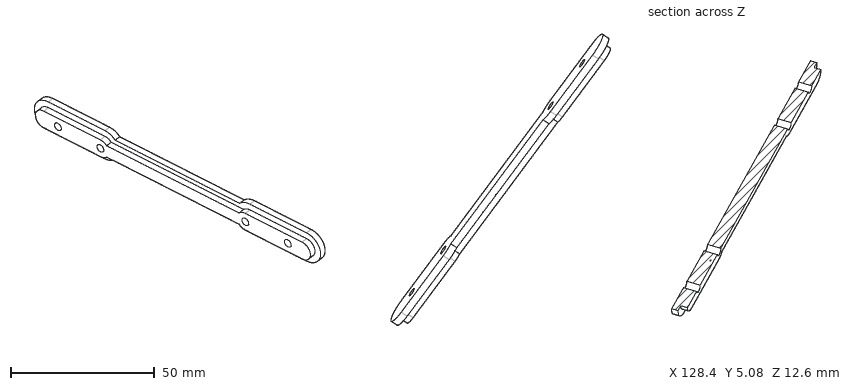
import cadquery as cq

length = 128.38
end_width = 12.62
thickness = 5.08

base_thickness = thickness / 2
raised_thickness = thickness - base_thickness
ledge = 2.54
base_waist_width = 8.7
raised_waist_width = 5.08

end_radius = end_width / 2
pad_center_spacing = 25.4
outer_center_x = length / 2 - end_radius
inner_center_x = outer_center_x - pad_center_spacing
pad_middle_x = (outer_center_x + inner_center_x) / 2

hole_diameter = 3.05
hole_spacing = 19.05
hole_positions_x = (inner_center_x, inner_center_x + hole_spacing)


def bar_layer(back_y, depth, pad_radius, waist_width):
    """Two rounded pads joined by a straight waist, extending from back_y toward -Y."""
    plane = cq.Workplane("XZ", origin=(0, back_y, 0))
    pads = (
        plane.pushPoints([(-pad_middle_x, 0), (pad_middle_x, 0)])
        .slot2D(pad_center_spacing + 2 * pad_radius, 2 * pad_radius)
        .extrude(depth)
    )
    waist = plane.rect(2 * inner_center_x, waist_width).extrude(depth)
    return waist.union(pads).clean()


def through_holes():
    """Cylinders through both layers, mirrored about the middle of the bar."""
    centers = [(side * x, 0) for side in (-1, 1) for x in hole_positions_x]
    return (
        cq.Workplane("XZ", origin=(0, thickness / 2, 0))
        .pushPoints(centers)
        .circle(hole_diameter / 2)
        .extrude(thickness)
    )


base_back_y = thickness / 2
base = bar_layer(base_back_y, base_thickness, end_radius, base_waist_width)
raised = bar_layer(
    base_back_y - base_thickness, raised_thickness, end_radius - ledge, raised_waist_width
)

result = base.union(raised).cut(through_holes())